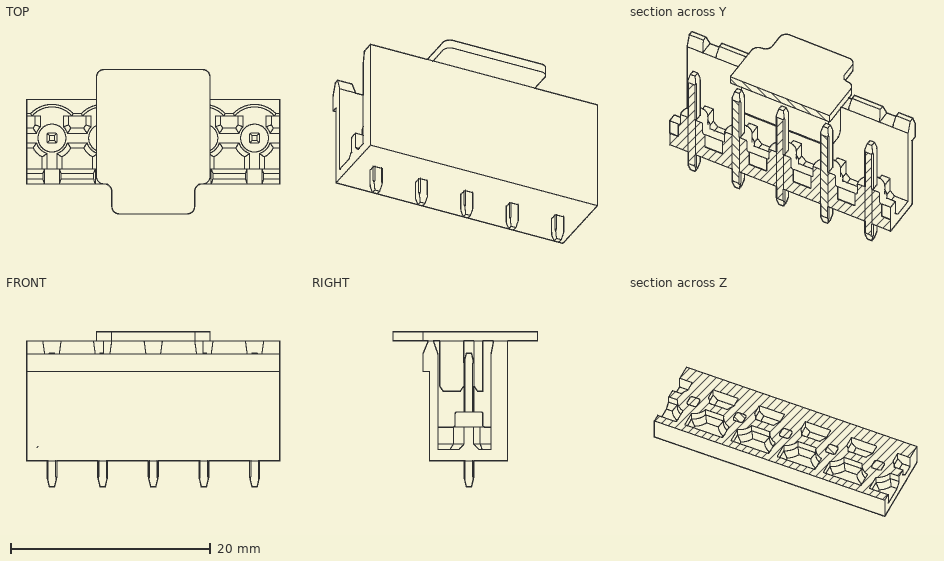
import cadquery as cq
import math


PIN_COUNT = 5
PITCH = 5.08
PIN_XS = [PITCH * (i - (PIN_COUNT - 1) / 2) for i in range(PIN_COUNT)]

LENGTH = PIN_COUNT * PITCH
HEIGHT = 12.01
BACK_Y = 3.89
FRONT_Y = -3.95
FLOOR_Z = 1.15
CHANNEL_BACK_Y = 2.2
CHANNEL_FRONT_Y = -3.1

LEAD_IN_Z = 10.72
BACK_LEAD_IN = 0.25
LIP_Y = -4.62
LIP_BOTTOM_Z = 8.95
LIP_TOP_BACK_Y = -3.55
LIP_TOP_FRONT_Y = -4.1
NOTCH_BOTTOM_WIDTH = 1.47
NOTCH_TOP_WIDTH = 1.83

SCALLOP_RADIUS = 2.67
SCALLOP_CENTER_Y = 0.45

RIB_TOP_Z = 3.38
SPINE_HALF_WIDTH = 0.48
BACK_RIB_HALF_WIDTH = 1.17
FOOT_FLARE = 0.5
FOOT_HEIGHT = 0.53
POST_RADIUS = 1.63
COLLAR_RADIUS = 1.4
COLLAR_TOP_Z = 4.9
COLLAR_ROUND = 0.18
COLLAR_ROOT_ROUND = POST_RADIUS - COLLAR_RADIUS

PIN_WIDTH = 1.02
PIN_EDGE_CHAMFER = 0.13
PIN_TIP_WIDTH = 0.53
PIN_TIP_LENGTH = 1.02
PIN_TOP_Z = 10.8
PIN_BOTTOM_Z = -2.62

PLATE_THICKNESS = 0.95
PLATE_WIDTH = 11.4
PLATE_BACK_Y = 6.88
PLATE_SHOULDER_Y = -4.6
TAB_WIDTH = 8.33
TAB_FRONT_Y = -7.62
PLATE_CORNER_RADIUS = 0.75
LEG_LENGTH = 10.0
LEG_BOTTOM_Z = 6.95
LEG_GAP = PIN_WIDTH
LEG_BACK_Y = 1.4
LEG_FRONT_Y = -2.95
LEG_CHAMFER_WIDTH = 0.35
LEG_CHAMFER_HEIGHT = 0.53


def extrude_along_x(points, length):
    """Extrude a (Y, Z) outline along X, centred on X = 0."""
    return cq.Workplane("YZ").polyline(points).close().extrude(length / 2, both=True)


def flared_rib_outline(half_width):
    """Cross-section of a floor rib whose foot widens towards the floor."""
    foot_half_width = half_width + FOOT_FLARE
    foot_top_z = FLOOR_Z + FOOT_HEIGHT
    return [
        (-foot_half_width, FLOOR_Z),
        (foot_half_width, FLOOR_Z),
        (half_width, foot_top_z),
        (half_width, RIB_TOP_Z),
        (-half_width, RIB_TOP_Z),
        (-half_width, foot_top_z),
    ]


def make_trough():
    """U-shaped body with a lead-in on the back wall and a hooked lip on the front wall."""
    return extrude_along_x(
        [
            (BACK_Y, 0),
            (BACK_Y, HEIGHT),
            (CHANNEL_BACK_Y + BACK_LEAD_IN, HEIGHT),
            (CHANNEL_BACK_Y, LEAD_IN_Z),
            (CHANNEL_BACK_Y, FLOOR_Z),
            (CHANNEL_FRONT_Y, FLOOR_Z),
            (CHANNEL_FRONT_Y, LEAD_IN_Z),
            (LIP_TOP_BACK_Y, HEIGHT),
            (LIP_TOP_FRONT_Y, HEIGHT),
            (LIP_Y, LEAD_IN_Z),
            (LIP_Y, LIP_BOTTOM_Z),
            (FRONT_Y, LIP_BOTTOM_Z),
            (FRONT_Y, 0),
        ],
        LENGTH,
    )


def make_scallop(x):
    """Cutter for the round recess behind one pin, opening out at the rim."""
    profile = [
        (0, RIB_TOP_Z),
        (SCALLOP_RADIUS, RIB_TOP_Z),
        (SCALLOP_RADIUS, LEAD_IN_Z),
        (SCALLOP_RADIUS + BACK_LEAD_IN, HEIGHT),
        (0, HEIGHT),
    ]
    round_recess = cq.Workplane("XZ").polyline(profile).close().revolve(360, (0, 0), (0, 1))
    behind_pin = cq.Workplane("XY").box(PITCH, BACK_Y, HEIGHT, centered=(True, False, False))
    return round_recess.translate((0, SCALLOP_CENTER_Y, 0)).intersect(behind_pin).translate((x, 0, 0))


def make_lip_notch(x):
    """Cutter for the notch with sloping sides in the front lip at one pin."""
    profile = [
        (x - NOTCH_BOTTOM_WIDTH / 2, LEAD_IN_Z),
        (x + NOTCH_BOTTOM_WIDTH / 2, LEAD_IN_Z),
        (x + NOTCH_TOP_WIDTH / 2, HEIGHT),
        (x - NOTCH_TOP_WIDTH / 2, HEIGHT),
    ]
    return (
        cq.Workplane("XZ", origin=(0, CHANNEL_FRONT_Y, 0))
        .polyline(profile)
        .close()
        .extrude(CHANNEL_FRONT_Y - LIP_Y)
    )


def make_cross_ribs(x):
    """Ribs that join one post to the back wall and to the front wall."""
    back_rib = (
        cq.Workplane("XZ")
        .polyline(flared_rib_outline(BACK_RIB_HALF_WIDTH))
        .close()
        .extrude(-CHANNEL_BACK_Y)
    )
    front_rib = (
        cq.Workplane("XZ")
        .polyline(flared_rib_outline(SPINE_HALF_WIDTH))
        .close()
        .extrude(-CHANNEL_FRONT_Y)
    )
    return back_rib.union(front_rib).translate((x, 0, 0))


def make_post(x):
    """Round post with a flared foot and a collar that surrounds one pin."""
    mid_arc = math.sqrt(0.5)
    root_mid = (
        POST_RADIUS - COLLAR_ROOT_ROUND * mid_arc,
        RIB_TOP_Z + COLLAR_ROOT_ROUND * (1 - mid_arc),
    )
    top_mid = (
        COLLAR_RADIUS - COLLAR_ROUND * (1 - mid_arc),
        COLLAR_TOP_Z - COLLAR_ROUND * (1 - mid_arc),
    )
    return (
        cq.Workplane("XZ")
        .moveTo(0, FLOOR_Z)
        .lineTo(POST_RADIUS + FOOT_FLARE, FLOOR_Z)
        .lineTo(POST_RADIUS, FLOOR_Z + FOOT_HEIGHT)
        .lineTo(POST_RADIUS, RIB_TOP_Z)
        .threePointArc(root_mid, (COLLAR_RADIUS, RIB_TOP_Z + COLLAR_ROOT_ROUND))
        .lineTo(COLLAR_RADIUS, COLLAR_TOP_Z - COLLAR_ROUND)
        .threePointArc(top_mid, (COLLAR_RADIUS - COLLAR_ROUND, COLLAR_TOP_Z))
        .lineTo(0, COLLAR_TOP_Z)
        .close()
        .revolve(360, (0, 0), (0, 1))
        .translate((x, 0, 0))
    )


def make_pin(x):
    """Square pin with bevelled long edges and a tapered tip at each end."""
    length = PIN_TOP_Z - PIN_BOTTOM_Z
    bar = (
        cq.Workplane("XY", origin=(0, 0, PIN_BOTTOM_Z))
        .rect(PIN_WIDTH, PIN_WIDTH)
        .extrude(length)
        .edges("|Z")
        .chamfer(PIN_EDGE_CHAMFER)
    )
    half_width = PIN_WIDTH / 2
    half_tip = PIN_TIP_WIDTH / 2
    tapered_outline = [
        (-half_tip, PIN_BOTTOM_Z),
        (half_tip, PIN_BOTTOM_Z),
        (half_width, PIN_BOTTOM_Z + PIN_TIP_LENGTH),
        (half_width, PIN_TOP_Z - PIN_TIP_LENGTH),
        (half_tip, PIN_TOP_Z),
        (-half_tip, PIN_TOP_Z),
        (-half_width, PIN_TOP_Z - PIN_TIP_LENGTH),
        (-half_width, PIN_BOTTOM_Z + PIN_TIP_LENGTH),
    ]
    for plane in ("XZ", "YZ"):
        taper = cq.Workplane(plane).polyline(tapered_outline).close().extrude(PIN_WIDTH, both=True)
        bar = bar.intersect(taper)
    return bar.translate((x, 0, 0))


def make_housing(pins):
    """Trough with its scallops, notches, ribs and posts, and a fitting hole for each pin."""
    body = make_trough()
    body = body.union(extrude_along_x(flared_rib_outline(SPINE_HALF_WIDTH), LENGTH))
    for x in PIN_XS:
        body = body.cut(make_scallop(x))
        body = body.cut(make_lip_notch(x))
        body = body.union(make_cross_ribs(x))
        body = body.union(make_post(x))
    for pin in pins:
        body = body.cut(pin)
    return body


def make_plate():
    """Flat plate with a narrower tab at the front and rounded corners."""
    half_plate = PLATE_WIDTH / 2
    half_tab = TAB_WIDTH / 2
    outline = [
        (-half_plate, PLATE_BACK_Y),
        (half_plate, PLATE_BACK_Y),
        (half_plate, PLATE_SHOULDER_Y),
        (half_tab, PLATE_SHOULDER_Y),
        (half_tab, TAB_FRONT_Y),
        (-half_tab, TAB_FRONT_Y),
        (-half_tab, PLATE_SHOULDER_Y),
        (-half_plate, PLATE_SHOULDER_Y),
    ]
    return (
        cq.Workplane("XY", origin=(0, 0, HEIGHT))
        .polyline(outline)
        .close()
        .extrude(PLATE_THICKNESS)
        .edges("|Z")
        .fillet(PLATE_CORNER_RADIUS)
    )


def make_back_leg():
    """Thin leg behind the pins, bevelled on the side that faces them."""
    pin_side_y = LEG_GAP / 2
    return extrude_along_x(
        [
            (LEG_BACK_Y, HEIGHT),
            (LEG_BACK_Y, LEG_BOTTOM_Z),
            (pin_side_y + LEG_CHAMFER_WIDTH, LEG_BOTTOM_Z),
            (pin_side_y, LEG_BOTTOM_Z + LEG_CHAMFER_HEIGHT),
            (pin_side_y, HEIGHT),
        ],
        LEG_LENGTH,
    )


def make_front_leg():
    """Thick leg in front of the pins, bevelled on both sides."""
    pin_side_y = -LEG_GAP / 2
    return extrude_along_x(
        [
            (pin_side_y, HEIGHT),
            (pin_side_y, LEG_BOTTOM_Z + LEG_CHAMFER_HEIGHT),
            (pin_side_y - LEG_CHAMFER_WIDTH, LEG_BOTTOM_Z),
            (LEG_FRONT_Y + LEG_CHAMFER_WIDTH, LEG_BOTTOM_Z),
            (LEG_FRONT_Y, LEG_BOTTOM_Z + LEG_CHAMFER_HEIGHT),
            (LEG_FRONT_Y, HEIGHT),
        ],
        LEG_LENGTH,
    )


def make_cover():
    return make_plate().union(make_back_leg()).union(make_front_leg())


pins = [make_pin(x) for x in PIN_XS]
housing = make_housing(pins)
cover = make_cover()

result = cq.Compound.makeCompound([housing.val(), cover.val(), *[pin.val() for pin in pins]])